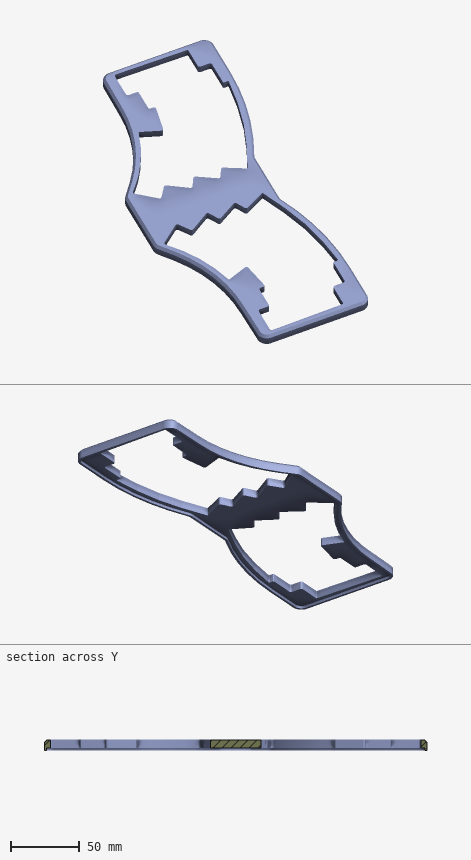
import cadquery as cq
import math

length = 279.0
depth = 120.8
thickness = 8.0
edge_chamfer = 2.0
rim_width = 2.0
recess_depth = 2.0
corner_radius = 7.3
small_radius = 1.53
tight_radius = 0.8
half_length = length / 2
back_y = depth / 2
front_y = -depth / 2

waist_back_y = 41.8
waist_back_half = 22.0
waist_front_half = 26.0
waist_front_radius = 7.0
waist_back_radius = 5.5

back_arc_start_x = 103.2

wing_front_y = -27.3
front_arc_start = (104.9, -28.0)
front_arc_end = (38.5, -50.5)

back_steps = [(-133.9, 40.7), (-115.5, 40.7), (-115.5, 50.8), (-94.5, 50.8), (-94.5, 55.0)]
back_facets = [(-73.0, 52.1), (-52.1, 47.5), (-33.0, 40.7)]
spine_teeth = [
    (-12.8, 32.0),
    (-21.8, 15.0),
    (-12.5, 10.0),
    (-22.5, -6.7),
    (-12.8, -12.3),
    (-24.0, -29.5),
    (-13.0, -37.0),
    (-26.8, -53.8),
]
front_arc_middle = (-56.5, -33.0)
front_steps = [
    (-77.8, -25.0),
    (-71.5, -7.8),
    (-94.5, -3.5),
    (-94.5, -9.0),
    (-113.0, -9.0),
    (-113.0, -18.0),
    (-134.7, -18.0),
]
tight_corners = [
    back_steps[0],
    back_steps[3],
    back_steps[4],
    spine_teeth[0],
    front_steps[0],
    front_steps[4],
]


def tangent_arc_middle(start, end):
    """Middle point of the arc that leaves start parallel to X and falls to end."""
    run = start[0] - end[0]
    drop = start[1] - end[1]
    radius = (run**2 + drop**2) / (2 * drop)
    half_angle = math.asin(run / radius) / 2
    return (
        start[0] - radius * math.sin(half_angle),
        start[1] - radius * (1 - math.cos(half_angle)),
    )


def flip(point):
    return (-point[0], point[1])


def round_upright_edge(body, point, radius):
    """Fillet the one vertical edge that stands at the given (x, y)."""
    reach = 0.3
    selector = cq.selectors.BoxSelector(
        (point[0] - reach, point[1] - reach, -thickness),
        (point[0] + reach, point[1] + reach, 2 * thickness),
    )
    return body.edges("|Z").edges(selector).fillet(radius)


def make_plate():
    back_start = (back_arc_start_x, back_y)
    back_end = (waist_back_half, waist_back_y)
    back_middle = tangent_arc_middle(back_start, back_end)
    front_middle = tangent_arc_middle(front_arc_start, front_arc_end)
    wing_back = (half_length, back_y)
    wing_front = (half_length, wing_front_y)
    waist_front = (waist_front_half, front_y)
    plate = (
        cq.Workplane("XY")
        .moveTo(*back_end)
        .threePointArc(back_middle, back_start)
        .lineTo(*wing_back)
        .lineTo(*wing_front)
        .lineTo(*front_arc_start)
        .threePointArc(front_middle, front_arc_end)
        .lineTo(*waist_front)
        .lineTo(*flip(waist_front))
        .lineTo(*flip(front_arc_end))
        .threePointArc(flip(front_middle), flip(front_arc_start))
        .lineTo(*flip(wing_front))
        .lineTo(*flip(wing_back))
        .lineTo(*flip(back_start))
        .threePointArc(flip(back_middle), flip(back_end))
        .close()
        .extrude(thickness)
    )
    rounded_corners = [
        (wing_back, corner_radius),
        (wing_front, corner_radius),
        (waist_front, waist_front_radius),
        (back_end, waist_back_radius),
    ]
    for corner, radius in rounded_corners:
        plate = round_upright_edge(plate, corner, radius)
        plate = round_upright_edge(plate, flip(corner), radius)
    floor_outline = plate.faces("<Z").wires().toPending()
    recess = floor_outline.offset2D(-rim_width).extrude(recess_depth, combine=False)
    return plate.faces(">Z").edges().chamfer(edge_chamfer).cut(recess)


def make_left_opening():
    before_arc = back_steps + back_facets + spine_teeth
    outline = cq.Workplane("XY").polyline(before_arc)
    outline = outline.threePointArc(front_arc_middle, front_steps[0])
    for corner in front_steps[1:]:
        outline = outline.lineTo(*corner)
    opening = outline.close().extrude(thickness)
    for corner in back_steps + spine_teeth + front_steps:
        radius = tight_radius if corner in tight_corners else small_radius
        opening = round_upright_edge(opening, corner, radius)
    return opening


left_opening = make_left_opening()
right_opening = left_opening.mirror("YZ")
result = make_plate().cut(left_opening).cut(right_opening)